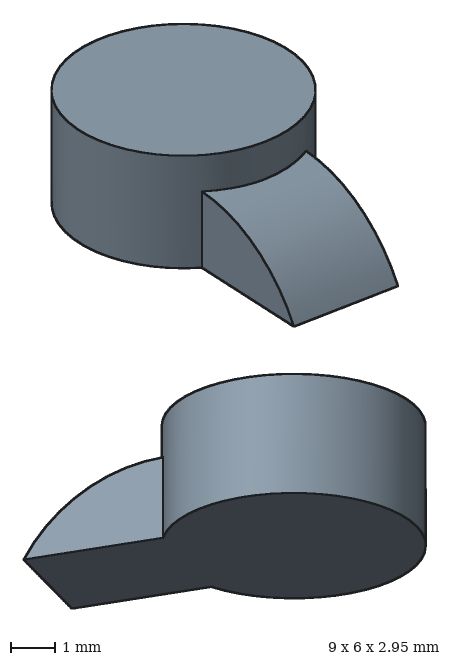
import cadquery as cq

body_diameter = 6.0
body_height = 2.95

overall_length = 9.0
tab_width = body_diameter / 2
tab_tip_x = overall_length - body_diameter / 2
tab_height = 2.0
arc_middle_x = 4.5
arc_middle_z = 1.485

body_radius = body_diameter / 2
tab_root_x = (body_radius**2 - (tab_width / 2) ** 2) ** 0.5

body = cq.Workplane("XY").circle(body_radius).extrude(body_height)

tab = (
    cq.Workplane("XZ")
    .lineTo(tab_tip_x, 0)
    .threePointArc((arc_middle_x, arc_middle_z), (tab_root_x, tab_height))
    .lineTo(0, tab_height)
    .close()
    .extrude(tab_width / 2, both=True)
)

result = body.union(tab)